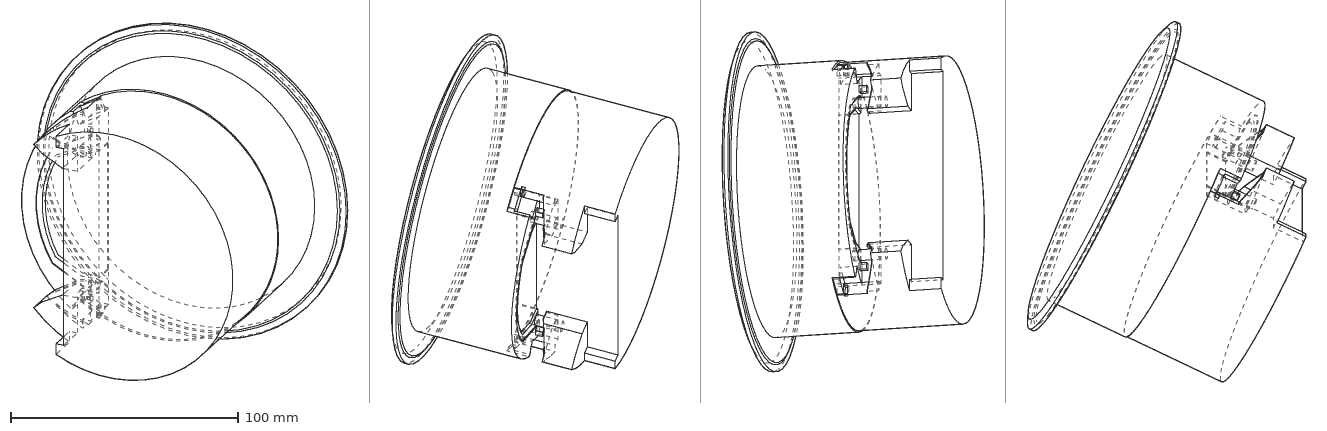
import cadquery as cq
import math


flange_radius = 75.0
flange_front_radius = 71.0
flange_bevel_depth = 1.75
flange_rim_depth = 3.5
flange_depth = 4.0
flange_step_outer_radius = 72.0
flange_step_inner_radius = 71.0

barrel_radius = 60.0
barrel_depth = 41.75
end_block_depth = 52.1
end_block_half_height = 47.75
neck_radius = 58.6
neck_depth = 44.75

slot_outer_radius = 59.2
slot_corner = (-32.1, 41.9)

rim_recess_radius = 53.0
rim_recess_depth = 0.5
floor_recess_radius = 50.2
floor_recess_depth = 1.2
floor_bevel = 1.2
recess_slant = 29.0
rim_corner_height = 27.9
floor_corner_height = 24.6
rim_side_height = 38.0
floor_side_height = 31.5

box_radius = 59.25
box_center_x = 0.35
box_depth = 88.75
box_wall_x = -22.5
box_shoulder_x = -26.3
block_clearance = 0.5
notch_depth = 1.65
notch_floor_height = 48.5
notch_edge_x = -25.2

hook_start_depth = 55.5
hook_tip_depth = 60.75
hook_end_depth = 74.5
hook_inner_height = 30.75
hook_wall = 0.8
hook_inner_x = -29.7
hook_bend = (-39.7, 36.1)
hook_tip_height = 39.7
hook_tip_x = -43.7
slope_start_x = -27.1
slope_end_x = -40.5

pin_radius = 2.4
pin_x = -25.4
pin_height = 34.9
pin_engagement = 3.0

lug_low = 39.2
lug_high = 42.1
lug_width = 2.5

reach = 2 * flange_radius

SIDES = (1, -1)


def prism(outline, start_depth, end_depth):
    """Extrude a closed XZ outline along -Y between two depths."""
    return outline.extrude(end_depth - start_depth).translate((0, -start_depth, 0))


def polygon(points):
    return cq.Workplane("XZ").polyline(points).close()


def disc(radius, start_depth, end_depth):
    return prism(cq.Workplane("XZ").circle(radius), start_depth, end_depth)


def box_disc(radius, start_depth, end_depth):
    return disc(radius, start_depth, end_depth).translate((box_center_x, 0, 0))


def block(x_min, x_max, z_min, z_max, start_depth, end_depth):
    corners = [(x_min, z_min), (x_max, z_min), (x_max, z_max), (x_min, z_max)]
    return prism(polygon(corners), start_depth, end_depth)


def on_side(body, side):
    """Return the body for the upper side, or its mirror image for the lower side."""
    return body if side > 0 else body.mirror("XY")


def turned(profile):
    """Revolve a profile of (radius, depth) points about the Y axis."""
    points = [(radius, -depth) for radius, depth in profile]
    return cq.Workplane("XY").polyline(points).close().revolve(360, (0, 0, 0), (0, 1, 0))


def recess_outline(radius, corner_height, side_height):
    """Arc with slanted shoulders and level sides, running on past the box wall."""
    corner_x = -math.sqrt(radius**2 - corner_height**2)
    side_x = corner_x + (side_height - corner_height) / math.tan(math.radians(recess_slant))
    return (
        cq.Workplane("XZ")
        .moveTo(corner_x, -corner_height)
        .threePointArc((-radius, 0), (corner_x, corner_height))
        .lineTo(side_x, side_height)
        .lineTo(0, side_height)
        .lineTo(0, -side_height)
        .lineTo(side_x, -side_height)
        .close()
    )


def make_flange():
    return turned([
        (0, 0),
        (flange_front_radius, 0),
        (flange_radius, flange_bevel_depth),
        (flange_radius, flange_rim_depth),
        (flange_step_outer_radius, flange_rim_depth),
        (flange_step_inner_radius, flange_depth),
        (0, flange_depth),
    ])


def make_end_slot():
    """Curved slot closed by a slanted face at the edge of the end block."""
    slot_inner_radius = math.hypot(*slot_corner)
    ring = disc(slot_outer_radius, neck_depth, end_block_depth)
    ring = ring.cut(disc(slot_inner_radius, neck_depth, end_block_depth))
    edge_x = -math.sqrt(slot_outer_radius**2 - end_block_half_height**2)
    opening = polygon([
        slot_corner,
        (edge_x, end_block_half_height),
        (box_wall_x, end_block_half_height),
        (box_wall_x, slot_corner[1]),
    ])
    return ring.intersect(prism(opening, neck_depth, end_block_depth))


def make_barrel():
    barrel = disc(barrel_radius, flange_depth, barrel_depth)
    end_block = disc(barrel_radius, barrel_depth, end_block_depth).intersect(
        block(-reach, box_wall_x, -end_block_half_height, end_block_half_height,
              barrel_depth, end_block_depth)
    )
    neck = disc(neck_radius, barrel_depth, neck_depth).intersect(
        block(-reach, box_shoulder_x, -reach, reach, barrel_depth, neck_depth)
    )
    return barrel.union(end_block).union(neck)


def make_lug(side):
    lug = block(pin_x - lug_width, pin_x, lug_low, lug_high, end_block_depth, hook_start_depth)
    return on_side(lug, side)


def make_pin(side):
    start_depth = end_block_depth - pin_engagement
    end_depth = hook_tip_depth + pin_engagement
    section = cq.Workplane("XZ").center(pin_x, side * pin_height).circle(pin_radius)
    return prism(section, start_depth, end_depth)


def make_housing(pins):
    housing = make_flange().union(make_barrel())
    for side in SIDES:
        housing = housing.cut(on_side(make_end_slot(), side))

    rim = recess_outline(rim_recess_radius, rim_corner_height, rim_side_height)
    rim_floor_depth = end_block_depth - rim_recess_depth
    housing = housing.cut(prism(rim, rim_floor_depth, end_block_depth))

    taper = math.degrees(math.atan2(floor_bevel, floor_recess_depth - rim_recess_depth))
    floor = recess_outline(floor_recess_radius, floor_corner_height, floor_side_height)
    floor_cut = floor.extrude(rim_recess_depth - floor_recess_depth, taper=taper)
    floor_cut = floor_cut.translate((0, -rim_floor_depth, 0))
    housing = housing.cut(floor_cut)
    housing = housing.cut(
        block(box_wall_x - block_clearance, box_wall_x, -hook_inner_height, hook_inner_height,
              barrel_depth, end_block_depth)
    )
    for pin in pins:
        housing = housing.cut(pin)
    return housing


def hook_section(inset):
    """Hook outline in XZ, moved inwards by the inset except along the box wall."""
    slant = math.atan2(hook_bend[1] - hook_inner_height, hook_inner_x - hook_bend[0])
    lower_height = hook_inner_height + inset
    lower_x = hook_inner_x - inset * math.tan(slant / 2)
    tip_slant = math.atan2(hook_tip_height - hook_bend[1], hook_bend[0] - hook_tip_x)
    bend_turn = (slant + tip_slant) / 2
    bend_shift = inset / math.cos((tip_slant - slant) / 2)
    bend_x = hook_bend[0] + bend_shift * math.sin(bend_turn)
    bend_z = hook_bend[1] + bend_shift * math.cos(bend_turn)
    return polygon([
        (box_wall_x, lower_height),
        (lower_x, lower_height),
        (bend_x, bend_z),
        (bend_x - reach * math.cos(tip_slant), bend_z + reach * math.sin(tip_slant)),
        (box_wall_x, reach),
    ])


def hook_prism(inset, start_depth, end_depth):
    rounding = box_disc(box_radius - inset, start_depth, end_depth)
    return prism(hook_section(inset), start_depth, end_depth).intersect(rounding)


def make_hook():
    """Hollow hook with a sloped mouth towards the housing."""
    hook = hook_prism(0, hook_start_depth, hook_end_depth)
    hook = hook.cut(hook_prism(hook_wall, hook_start_depth, hook_tip_depth))
    slope = (
        cq.Workplane("XY")
        .polyline([
            (slope_start_x, -hook_start_depth),
            (slope_end_x, -hook_tip_depth),
            (-box_radius, -hook_tip_depth),
            (-box_radius, -hook_start_depth),
        ])
        .close()
        .extrude(box_radius)
    )
    return hook.cut(slope)


def make_box_notch():
    """Small pocket in the side of the shoulder, closed by a radial face."""
    edge_z = math.sqrt(box_radius**2 - notch_edge_x**2)
    section = polygon([
        (notch_edge_x * notch_floor_height / edge_z, notch_floor_height),
        (notch_edge_x, edge_z),
        (-reach, edge_z),
        (-reach, notch_floor_height),
    ])
    end_depth = neck_depth + notch_depth
    return prism(section, neck_depth, end_depth).intersect(disc(neck_radius, neck_depth, end_depth))


def make_box(pins):
    box = box_disc(box_radius, barrel_depth, box_depth)
    box = box.cut(block(-reach, box_shoulder_x, -reach, reach, barrel_depth, box_depth))
    box = box.cut(
        block(box_shoulder_x, box_wall_x, -end_block_half_height, end_block_half_height,
              barrel_depth, box_depth)
    )
    for side in SIDES:
        box = box.cut(on_side(make_box_notch(), side))
        box = box.union(on_side(make_hook(), side))
    for pin in pins:
        box = box.cut(pin)
    return box


pins = [make_pin(side) for side in SIDES]
lugs = [make_lug(side) for side in SIDES]
housing = make_housing(pins)
box = make_box(pins)

result = cq.Compound.makeCompound([
    housing.val(),
    box.val(),
    *[pin.val() for pin in pins],
    *[lug.val() for lug in lugs],
])